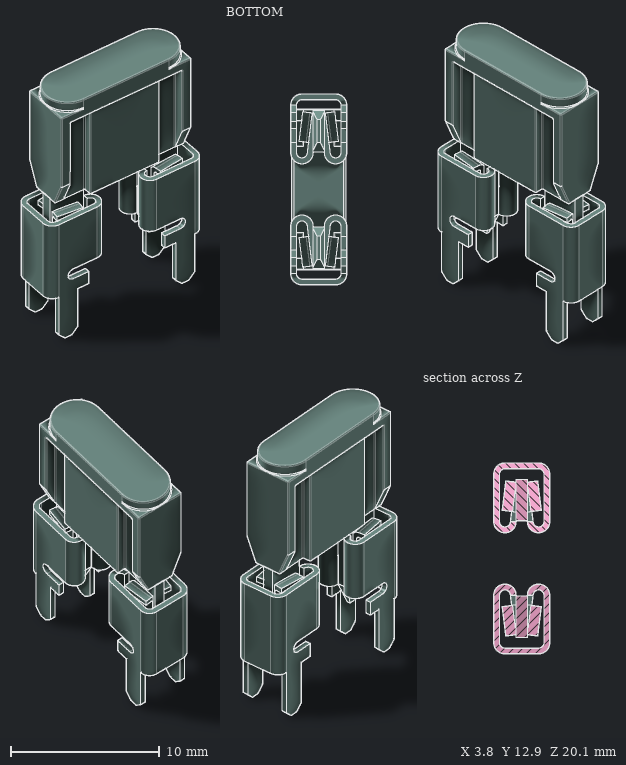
import cadquery as cq

TOTAL_HEIGHT = 20.1
HOUSING_BOTTOM = 11.36
CLIP_TOP = 10.18

HOUSING_WIDTH = 3.7
HOUSING_LENGTH = 10.85
LEDGE_Z = 19.33
EDGE_ROUND = 0.08
FOOT_ANGLE = 45.0
PANEL_TOP = 18.58
PANEL_LENGTH = 9.33
PANEL_DEPTH = 0.18
RAISED_LENGTH = 5.8
POCKET_DEPTH = 0.82
TAPER_BOTTOM_X = 1.05
TAPER_TOP = 13.27

BLADE_THICKNESS = 0.8
BLADE_INNER_Y = 2.53
BLADE_OUTER_Y = 5.35
BLADE_BOTTOM = 4.02
BLADE_SIDE_TAPER_TOP = 5.71
BLADE_FACE_TAPER_TOP = 5.51
BLADE_SIDE_TAPER = 0.62
BLADE_TIP_THICKNESS = 0.25

CLIP_WIDTH = 3.8
CLIP_OUTER_Y = 6.45
CLIP_INNER_Y = 1.73
WALL = 0.4
BEND_RADIUS = 0.76
CLIP_BOTTOM = 3.8
SLOT_TOP = 5.71
SLOT_BOTTOM = 4.87
SLOT_END_Y = 4.9
TAB_END_Y = 3.18
LEG_WIDTH = 1.59
LEG_CHAMFER = 0.5

LEAF_ANGLE = 7.0
LEAF_LENGTH = 2.7
LEAF_NOTCH_LENGTH = 0.68
LEAF_NOTCH_BOTTOM = 8.05
LEAF_TOP = 10.12
FLARE_REACH = 0.65
LEAF_INNER_BEND = 0.16


def box(x_range, y_range, z_range):
    """Box given by its limits along X, Y and Z."""
    (x0, x1), (y0, y1), (z0, z1) = x_range, y_range, z_range
    return cq.Workplane("XY").box(x1 - x0, y1 - y0, z1 - z0, centered=False).translate((x0, y0, z0))


def make_housing_block():
    """Block with rounded edges; a round-ended cap stands on it and leaves four corner ledges."""
    block = (
        cq.Workplane("XY", origin=(0, 0, HOUSING_BOTTOM))
        .rect(HOUSING_WIDTH, HOUSING_LENGTH)
        .extrude(LEDGE_Z - HOUSING_BOTTOM)
        .edges().fillet(EDGE_ROUND)
    )
    cap = (
        cq.Workplane("XY", origin=(0, 0, HOUSING_BOTTOM + EDGE_ROUND))
        .slot2D(HOUSING_LENGTH, HOUSING_WIDTH, 90)
        .extrude(TOTAL_HEIGHT - HOUSING_BOTTOM - EDGE_ROUND)
        .faces(">Z").edges().fillet(EDGE_ROUND)
    )
    block_envelope = (
        cq.Workplane("XY", origin=(0, 0, HOUSING_BOTTOM))
        .rect(HOUSING_WIDTH, HOUSING_LENGTH)
        .extrude(TOTAL_HEIGHT - HOUSING_BOTTOM)
        .edges("|Z").fillet(EDGE_ROUND)
    )
    flared_foot = (
        cq.Workplane("XY", origin=(0, 0, LEDGE_Z))
        .slot2D(HOUSING_LENGTH + 2 * EDGE_ROUND, HOUSING_WIDTH + 2 * EDGE_ROUND, 90)
        .extrude(EDGE_ROUND, taper=FOOT_ANGLE)
        .intersect(block_envelope)
    )
    return block.union(cap).union(flared_foot)


def make_panel_cutter():
    """Recess in the +X side: two deep pockets with a shallower raised panel between them."""
    half_width = HOUSING_WIDTH / 2
    half_panel = PANEL_LENGTH / 2
    half_raised = RAISED_LENGTH / 2
    pocket_x = half_width - POCKET_DEPTH
    raised_x = half_width - PANEL_DEPTH
    outside_x = half_width + POCKET_DEPTH
    return (
        cq.Workplane("XY", origin=(0, 0, HOUSING_BOTTOM))
        .moveTo(outside_x, half_panel)
        .lineTo(pocket_x, half_panel)
        .lineTo(pocket_x, half_raised)
        .lineTo(raised_x, half_raised)
        .lineTo(raised_x, -half_raised)
        .lineTo(pocket_x, -half_raised)
        .lineTo(pocket_x, -half_panel)
        .lineTo(outside_x, -half_panel)
        .close()
        .extrude(PANEL_TOP - HOUSING_BOTTOM)
    )


def make_post_trim(end):
    """Material removed from the end posts at one end so that they narrow towards the bottom."""
    half_width = HOUSING_WIDTH / 2
    start_y, stop_y = sorted((end * PANEL_LENGTH / 2, end * HOUSING_LENGTH / 2))
    narrowed_post = (
        cq.Workplane("XZ", origin=(0, stop_y, 0))
        .moveTo(-half_width, TAPER_TOP)
        .lineTo(-TAPER_BOTTOM_X, HOUSING_BOTTOM)
        .lineTo(TAPER_BOTTOM_X, HOUSING_BOTTOM)
        .lineTo(half_width, TAPER_TOP)
        .close()
        .extrude(stop_y - start_y)
        .faces(">Y" if end > 0 else "<Y").edges("not |X").fillet(EDGE_ROUND)
    )
    region = box((-half_width, half_width), (start_y, stop_y), (HOUSING_BOTTOM, TAPER_TOP))
    return region.cut(narrowed_post)


def make_housing():
    cutter = make_panel_cutter()
    housing = make_housing_block().cut(cutter).cut(cutter.mirror("YZ"))
    panel_edges = cq.selectors.BoxSelector(
        (-HOUSING_WIDTH, -PANEL_LENGTH / 2 - EDGE_ROUND, HOUSING_BOTTOM + 2 * EDGE_ROUND),
        (HOUSING_WIDTH, PANEL_LENGTH / 2 + EDGE_ROUND, PANEL_TOP + EDGE_ROUND),
    )
    housing = housing.edges(panel_edges).fillet(EDGE_ROUND)
    for end in (-1, 1):
        housing = housing.cut(make_post_trim(end))
    return housing


def make_blade():
    """Blade on the +Y side, tapering at its tip on all four sides; it butts against the housing."""
    length = BLADE_OUTER_Y - BLADE_INNER_Y
    middle_y = (BLADE_OUTER_Y + BLADE_INNER_Y) / 2
    half_thickness = BLADE_THICKNESS / 2
    half_tip = BLADE_TIP_THICKNESS / 2

    broad_outline = (
        cq.Workplane("YZ", origin=(-half_thickness, middle_y, 0))
        .moveTo(-length / 2, HOUSING_BOTTOM)
        .lineTo(length / 2, HOUSING_BOTTOM)
        .lineTo(length / 2, BLADE_SIDE_TAPER_TOP)
        .lineTo(length / 2 - BLADE_SIDE_TAPER, BLADE_BOTTOM)
        .lineTo(BLADE_SIDE_TAPER - length / 2, BLADE_BOTTOM)
        .lineTo(-length / 2, BLADE_SIDE_TAPER_TOP)
        .close()
        .extrude(BLADE_THICKNESS)
    )
    narrow_outline = (
        cq.Workplane("XZ", origin=(0, BLADE_OUTER_Y, 0))
        .moveTo(-half_thickness, HOUSING_BOTTOM)
        .lineTo(half_thickness, HOUSING_BOTTOM)
        .lineTo(half_thickness, BLADE_FACE_TAPER_TOP)
        .lineTo(half_tip, BLADE_BOTTOM)
        .lineTo(-half_tip, BLADE_BOTTOM)
        .lineTo(-half_thickness, BLADE_FACE_TAPER_TOP)
        .close()
        .extrude(length)
    )
    return broad_outline.intersect(narrow_outline)


def make_clip_strip():
    """Strip bent around the outer end of the clip, with a hook at each inner end."""
    side_x = CLIP_WIDTH / 2
    bend_x = side_x - BEND_RADIUS
    hook_x = side_x - 2 * BEND_RADIUS
    hook_y = CLIP_INNER_Y + BEND_RADIUS
    corner_y = CLIP_OUTER_Y - BEND_RADIUS
    return (
        cq.Workplane("XY")
        .moveTo(hook_x, hook_y)
        .threePointArc((bend_x, CLIP_INNER_Y), (side_x, hook_y))
        .lineTo(side_x, corner_y)
        .tangentArcPoint((bend_x, CLIP_OUTER_Y), relative=False)
        .lineTo(-bend_x, CLIP_OUTER_Y)
        .tangentArcPoint((-side_x, corner_y), relative=False)
        .lineTo(-side_x, hook_y)
        .threePointArc((-bend_x, CLIP_INNER_Y), (-hook_x, hook_y))
        .lineTo(-hook_x - WALL, hook_y)
        .threePointArc((-bend_x, CLIP_INNER_Y + WALL), (WALL - side_x, hook_y))
        .lineTo(WALL - side_x, corner_y)
        .tangentArcPoint((-bend_x, CLIP_OUTER_Y - WALL), relative=False)
        .lineTo(bend_x, CLIP_OUTER_Y - WALL)
        .tangentArcPoint((side_x - WALL, corner_y), relative=False)
        .lineTo(side_x - WALL, hook_y)
        .threePointArc((bend_x, CLIP_INNER_Y + WALL), (hook_x + WALL, hook_y))
        .close()
        .extrude(CLIP_TOP)
    )


def make_clip_silhouette():
    """Outline of the clip from the side: wall, slot with a tab under it, and leg."""
    leg_outer_y = CLIP_OUTER_Y - BEND_RADIUS
    leg_inner_y = leg_outer_y - LEG_WIDTH
    slot_radius = (SLOT_TOP - SLOT_BOTTOM) / 2
    slot_center_y = SLOT_END_Y - slot_radius
    return (
        cq.Workplane("YZ", origin=(-CLIP_WIDTH / 2, 0, 0))
        .moveTo(CLIP_INNER_Y, CLIP_TOP)
        .lineTo(CLIP_OUTER_Y, CLIP_TOP)
        .lineTo(CLIP_OUTER_Y, CLIP_BOTTOM)
        .lineTo(leg_outer_y, CLIP_BOTTOM)
        .lineTo(leg_outer_y, LEG_CHAMFER)
        .lineTo(leg_outer_y - LEG_CHAMFER, 0)
        .lineTo(leg_inner_y + LEG_CHAMFER, 0)
        .lineTo(leg_inner_y, LEG_CHAMFER)
        .lineTo(leg_inner_y, CLIP_BOTTOM)
        .lineTo(TAB_END_Y, CLIP_BOTTOM)
        .lineTo(TAB_END_Y, SLOT_BOTTOM)
        .lineTo(slot_center_y, SLOT_BOTTOM)
        .threePointArc((SLOT_END_Y, SLOT_BOTTOM + slot_radius), (slot_center_y, SLOT_TOP))
        .lineTo(CLIP_INNER_Y, SLOT_TOP)
        .close()
        .extrude(CLIP_WIDTH)
    )


def make_leaf():
    """Spring leaf on the -X side: it leaves the hook, leans to the blade and flares at the top."""
    hook_x = 2 * BEND_RADIUS - WALL - CLIP_WIDTH / 2
    hook_y = CLIP_INNER_Y + BEND_RADIUS
    outer_bend = LEAF_INNER_BEND + WALL
    flare_bottom = LEAF_TOP - WALL
    profile = (
        cq.Workplane("XZ", origin=(0, LEAF_LENGTH, 0))
        .moveTo(0, SLOT_TOP)
        .lineTo(WALL, SLOT_TOP)
        .lineTo(WALL, LEAF_TOP - outer_bend)
        .tangentArcPoint((WALL - outer_bend, LEAF_TOP), relative=False)
        .lineTo(-FLARE_REACH, LEAF_TOP)
        .lineTo(-FLARE_REACH, flare_bottom)
        .lineTo(-LEAF_INNER_BEND, flare_bottom)
        .tangentArcPoint((0, flare_bottom - LEAF_INNER_BEND), relative=False)
        .close()
        .extrude(LEAF_LENGTH)
    )
    notch = box((-FLARE_REACH, WALL), (0, LEAF_NOTCH_LENGTH), (LEAF_NOTCH_BOTTOM, LEAF_TOP))
    leaf = profile.cut(notch).rotate((0, 0, 0), (0, 0, 1), -LEAF_ANGLE)
    return leaf.translate((hook_x, hook_y, 0))


def make_clip(blade):
    """Clip on the +Y side; its leaves are pressed flat where they meet the blade."""
    clip = make_clip_strip().intersect(make_clip_silhouette())
    leaf = make_leaf().cut(blade)
    return clip.union(leaf).union(leaf.mirror("YZ"))


housing = make_housing()
blade = make_blade()
clip = make_clip(blade)

blades = []
clips = []
for turn in (0, 180):
    blades.append(blade.rotate((0, 0, 0), (0, 0, 1), turn).val())
    clips.append(clip.rotate((0, 0, 0), (0, 0, 1), turn).val())

result = cq.Compound.makeCompound([housing.val(), *blades, *clips])